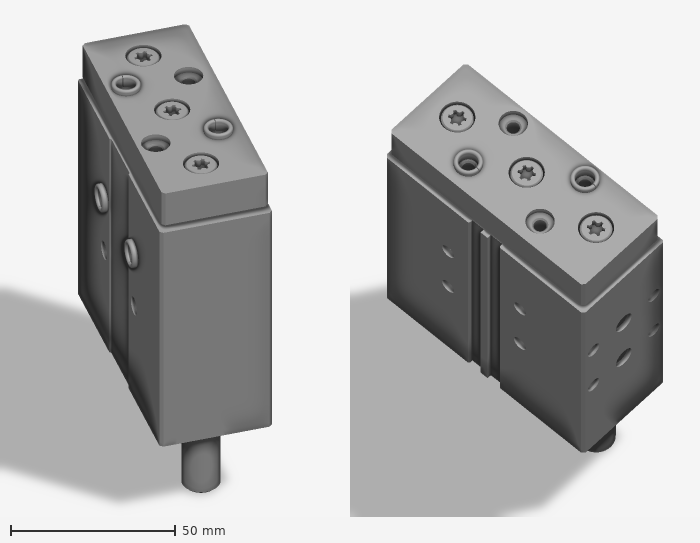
import cadquery as cq
import math


HOUSING_X = 83.0
HOUSING_Y = 36.0
HOUSING_Z = 80.9
CORNER_CHAMFER = 1.0
FRONT_LEFT_CHAMFER = 0.5
FRONT_GROOVE_WIDTH = 19.0
FRONT_GROOVE_DEPTH = 0.5
FRONT_GROOVE_SLOPE = 0.2
BACK_SLOT_WIDTH = 12.5
BACK_SLOT_DEPTH = 1.5
BACK_SLOT_CHAMFER = 0.5
BACK_RIB_WIDTH = 3.0
FOOT_DIAMETER = 7.0
FOOT_HEIGHT = 1.2
FOOT_X = 15.7

HOLE_X = 15.0
HOLE_PITCH = 20.0
UPPER_HOLE_DROP = 26.0
UPPER_HOLE_Z = HOUSING_Z - UPPER_HOLE_DROP
LOWER_HOLE_Z = UPPER_HOLE_Z - HOLE_PITCH

FRONT_HOLE_DIAMETER = 5.0
FRONT_HOLE_RIM = 6.0
SMALL_HOLE_DIAMETER = 4.0
SMALL_HOLE_RIM = 5.0
SIDE_HOLE_PITCH = 26.9
SIDE_HOLE_DEPTH = 8.0
DRILL_POINT_ANGLE = 118
PORT_DIAMETER = 7.0
PORT_DEPTH = 1.6

PLATE_X = 81.0
PLATE_Y = 34.0
PLATE_Z = 12.0
PLATE_GAP = 2.0
PLATE_CORNER_CHAMFER = 1.0
PLATE_BOTTOM = HOUSING_Z + PLATE_GAP
PLATE_TOP = PLATE_BOTTOM + PLATE_Z

ROD_AXIS_Y = -1.0
GUIDE_ROD_X = 29.0
GUIDE_ROD_DIAMETER = 12.0
GUIDE_ROD_BOTTOM = -26.0
GUIDE_ROD_CHAMFER = 0.9
PISTON_ROD_DIAMETER = 9.0
PISTON_ROD_BOTTOM = HOUSING_Z / 2
NECK_DIAMETER = 6.0
HEAD_DIAMETER = 10.0
HEAD_HEIGHT = 6.0
HEAD_RECESS = 0.4
HEAD_CHAMFER = 0.5
HEAD_POCKET_DIAMETER = 11.0
HEAD_TOP = PLATE_TOP - HEAD_RECESS
HEAD_BOTTOM = HEAD_TOP - HEAD_HEIGHT
SOCKET_TIP_RADIUS = 2.8
SOCKET_ROOT_RADIUS = 2.0
SOCKET_DEPTH = 2.5
SOCKET_LOBES = 6
SOCKET_LOBE_ANGLE = 22

SLEEVE_DIAMETER = 9.0
SLEEVE_BORE = 6.1
SLEEVE_SEAT_DEPTH = 2.1
SLEEVE_PROTRUSION = 1.8
SLEEVE_SLIT = 0.2

HOUSING_FRONT = cq.Vector(0, -HOUSING_Y / 2, 0)
DOWN = cq.Vector(0, 0, -1)
TO_BACK = cq.Vector(0, 1, 0)
TO_RIGHT = cq.Vector(1, 0, 0)


def cylinder(diameter, bottom, top, x=0.0, y=0.0):
    """Upright cylinder between two heights."""
    return cq.Workplane("XY", origin=(x, y, bottom)).circle(diameter / 2).extrude(top - bottom)


def bore(diameter, depth, mouth, direction):
    """Cylinder that cuts a round hole from its mouth along a direction."""
    return cq.Workplane(cq.Solid.makeCylinder(diameter / 2, depth, mouth, direction))


def rim_chamfer(hole_diameter, rim_diameter, mouth, direction):
    """Cone that cuts a 45 degree chamfer at the mouth of a hole."""
    depth = (rim_diameter - hole_diameter) / 2
    return cq.Workplane(cq.Solid.makeCone(rim_diameter / 2, hole_diameter / 2, depth, mouth, direction))


def drill_point(diameter, depth, mouth, direction):
    """Cone at the end of a blind drilled hole."""
    radius = diameter / 2
    length = radius / math.tan(math.radians(DRILL_POINT_ANGLE / 2))
    return cq.Workplane(cq.Solid.makeCone(radius, 0, length, mouth + direction * depth, direction))


def housing_profile():
    """Housing outline with the front groove and the ribbed back slot."""
    side = HOUSING_X / 2
    back = HOUSING_Y / 2
    front = -back
    groove = FRONT_GROOVE_WIDTH / 2
    groove_floor = front + FRONT_GROOVE_DEPTH
    slot = BACK_SLOT_WIDTH / 2
    slot_floor = back - BACK_SLOT_DEPTH
    rib = BACK_RIB_WIDTH / 2
    return (
        cq.Workplane("XY")
        .moveTo(-side, front + FRONT_LEFT_CHAMFER)
        .lineTo(-side + FRONT_LEFT_CHAMFER, front)
        .lineTo(-groove, front)
        .lineTo(-groove + FRONT_GROOVE_SLOPE, groove_floor)
        .lineTo(groove - FRONT_GROOVE_SLOPE, groove_floor)
        .lineTo(groove, front)
        .lineTo(side - CORNER_CHAMFER, front)
        .lineTo(side, front + CORNER_CHAMFER)
        .lineTo(side, back - CORNER_CHAMFER)
        .lineTo(side - CORNER_CHAMFER, back)
        .lineTo(slot + BACK_SLOT_CHAMFER, back)
        .lineTo(slot, back - BACK_SLOT_CHAMFER)
        .lineTo(slot, slot_floor)
        .lineTo(rib, slot_floor)
        .lineTo(rib, back)
        .lineTo(-rib, back)
        .lineTo(-rib, slot_floor)
        .lineTo(-slot, slot_floor)
        .lineTo(-slot, back - BACK_SLOT_CHAMFER)
        .lineTo(-slot - BACK_SLOT_CHAMFER, back)
        .lineTo(-side + CORNER_CHAMFER, back)
        .lineTo(-side, back - CORNER_CHAMFER)
        .close()
    )


def cut_front_holes(body):
    """Four through holes along Y; the upper two have sleeve seats, the lower two chamfers."""
    for x in (-HOLE_X, HOLE_X):
        upper = HOUSING_FRONT + cq.Vector(x, 0, UPPER_HOLE_Z)
        lower = HOUSING_FRONT + cq.Vector(x, 0, LOWER_HOLE_Z)
        for mouth in (upper, lower):
            body = body.cut(bore(FRONT_HOLE_DIAMETER, HOUSING_Y, mouth, TO_BACK))
        body = body.cut(bore(SLEEVE_DIAMETER, SLEEVE_SEAT_DEPTH, upper, TO_BACK))
        body = body.cut(rim_chamfer(FRONT_HOLE_DIAMETER, FRONT_HOLE_RIM, lower, TO_BACK))
    return body


def cut_side_holes(body):
    """Two shallow ports and four chamfered blind holes in the -X side."""
    for z in (UPPER_HOLE_Z, LOWER_HOLE_Z):
        port = cq.Vector(-HOUSING_X / 2, 0, z)
        body = body.cut(bore(PORT_DIAMETER, PORT_DEPTH, port, TO_RIGHT))
        for y in (-SIDE_HOLE_PITCH / 2, SIDE_HOLE_PITCH / 2):
            mouth = port + cq.Vector(0, y, 0)
            body = body.cut(bore(SMALL_HOLE_DIAMETER, SIDE_HOLE_DEPTH, mouth, TO_RIGHT))
            body = body.cut(drill_point(SMALL_HOLE_DIAMETER, SIDE_HOLE_DEPTH, mouth, TO_RIGHT))
            body = body.cut(rim_chamfer(SMALL_HOLE_DIAMETER, SMALL_HOLE_RIM, mouth, TO_RIGHT))
    return body


def make_housing():
    """Housing block with rod bores, two feet, front holes and side holes."""
    body = housing_profile().extrude(HOUSING_Z)
    for x in (-GUIDE_ROD_X, GUIDE_ROD_X):
        body = body.cut(cylinder(GUIDE_ROD_DIAMETER, 0, HOUSING_Z, x, ROD_AXIS_Y))
    body = body.cut(cylinder(PISTON_ROD_DIAMETER, PISTON_ROD_BOTTOM, HOUSING_Z, 0, ROD_AXIS_Y))
    for x in (-FOOT_X, FOOT_X):
        body = body.union(cylinder(FOOT_DIAMETER, -FOOT_HEIGHT, 0, x, ROD_AXIS_Y))
    return cut_side_holes(cut_front_holes(body))


def make_plate():
    """Yoke plate with three screw pockets and four sleeve seats over through holes."""
    body = (
        cq.Workplane("XY", origin=(0, 0, PLATE_BOTTOM))
        .rect(PLATE_X, PLATE_Y)
        .extrude(PLATE_Z)
        .edges("|Z")
        .chamfer(PLATE_CORNER_CHAMFER)
    )
    for x in (-GUIDE_ROD_X, 0, GUIDE_ROD_X):
        body = body.cut(cylinder(NECK_DIAMETER, PLATE_BOTTOM, PLATE_TOP, x, ROD_AXIS_Y))
        body = body.cut(cylinder(HEAD_POCKET_DIAMETER, HEAD_BOTTOM, PLATE_TOP, x, ROD_AXIS_Y))
    seat_floor = PLATE_TOP - SLEEVE_SEAT_DEPTH
    for x in (-HOLE_X, HOLE_X):
        for y in (ROD_AXIS_Y - HOLE_PITCH / 2, ROD_AXIS_Y + HOLE_PITCH / 2):
            body = body.cut(cylinder(SLEEVE_DIAMETER, seat_floor, PLATE_TOP, x, y))
            body = body.cut(cylinder(SMALL_HOLE_DIAMETER, PLATE_BOTTOM, PLATE_TOP, x, y))
            floor_mouth = cq.Vector(x, y, seat_floor)
            body = body.cut(rim_chamfer(SMALL_HOLE_DIAMETER, SMALL_HOLE_RIM, floor_mouth, DOWN))
    return body


def make_socket(x):
    """Six-lobed drive socket: short arcs at the lobe tips joined by concave arcs."""
    half_lobe = math.radians(SOCKET_LOBE_ANGLE / 2)
    step = 2 * math.pi / SOCKET_LOBES

    def polar(radius, angle):
        return (radius * math.cos(angle), radius * math.sin(angle))

    start = math.pi / 2
    outline = cq.Workplane("XY", origin=(x, ROD_AXIS_Y, HEAD_TOP - SOCKET_DEPTH))
    outline = outline.moveTo(*polar(SOCKET_TIP_RADIUS, start - half_lobe))
    for lobe in range(SOCKET_LOBES):
        middle = start + lobe * step
        next_lobe = middle + step
        outline = outline.threePointArc(
            polar(SOCKET_TIP_RADIUS, middle), polar(SOCKET_TIP_RADIUS, middle + half_lobe)
        )
        outline = outline.threePointArc(
            polar(SOCKET_ROOT_RADIUS, middle + step / 2),
            polar(SOCKET_TIP_RADIUS, next_lobe - half_lobe),
        )
    return outline.close().extrude(SOCKET_DEPTH)


def make_rod(diameter, bottom, chamfer, x):
    """Rod with a neck through the plate and a socket head in the plate's pocket."""
    shaft = cylinder(diameter, bottom, PLATE_BOTTOM, x, ROD_AXIS_Y)
    if chamfer > 0:
        shaft = shaft.faces("<Z").chamfer(chamfer)
    neck = cylinder(NECK_DIAMETER, PLATE_BOTTOM, HEAD_BOTTOM, x, ROD_AXIS_Y)
    head = cylinder(HEAD_DIAMETER, HEAD_BOTTOM, HEAD_TOP, x, ROD_AXIS_Y).faces(">Z").chamfer(HEAD_CHAMFER)
    return shaft.union(neck).union(head).cut(make_socket(x))


def make_sleeve():
    """Ring with a fully rounded top, slit on -X; the face it stands proud of is Z = 0."""
    inner = SLEEVE_BORE / 2
    outer = SLEEVE_DIAMETER / 2
    rounding = (outer - inner) / 2
    shoulder = SLEEVE_PROTRUSION - rounding
    ring = (
        cq.Workplane("XZ")
        .moveTo(-inner, -SLEEVE_SEAT_DEPTH)
        .lineTo(-outer, -SLEEVE_SEAT_DEPTH)
        .lineTo(-outer, shoulder)
        .threePointArc((-inner - rounding, SLEEVE_PROTRUSION), (-inner, shoulder))
        .close()
        .revolve(360, (0, 0, 0), (0, 1, 0))
    )
    slit = (
        cq.Workplane("XY", origin=(-outer, 0, -SLEEVE_SEAT_DEPTH))
        .rect(SLEEVE_DIAMETER, SLEEVE_SLIT)
        .extrude(SLEEVE_SEAT_DEPTH + SLEEVE_PROTRUSION)
    )
    return ring.cut(slit)


def make_plate_sleeves():
    """Two sleeves on the plate, in diagonally opposite seats."""
    sleeves = []
    for side in (-1, 1):
        place = (side * HOLE_X, ROD_AXIS_Y + side * HOLE_PITCH / 2, PLATE_TOP)
        sleeves.append(make_sleeve().translate(place))
    return sleeves


def make_front_sleeves():
    """Two sleeves in the upper front holes, with their slits facing down."""
    slit_at_front = make_sleeve().rotate((0, 0, 0), (0, 0, 1), 90)
    facing_front = slit_at_front.rotate((0, 0, 0), (1, 0, 0), 90)
    sleeves = []
    for x in (-HOLE_X, HOLE_X):
        place = HOUSING_FRONT + cq.Vector(x, 0, UPPER_HOLE_Z)
        sleeves.append(facing_front.translate(place))
    return sleeves


housing = make_housing()
plate = make_plate()
guide_rods = [
    make_rod(GUIDE_ROD_DIAMETER, GUIDE_ROD_BOTTOM, GUIDE_ROD_CHAMFER, x)
    for x in (-GUIDE_ROD_X, GUIDE_ROD_X)
]
piston_rod = make_rod(PISTON_ROD_DIAMETER, PISTON_ROD_BOTTOM, 0, 0)
sleeves = make_plate_sleeves() + make_front_sleeves()

bodies = [housing, plate, piston_rod, *guide_rods, *sleeves]
result = cq.Compound.makeCompound([body.val() for body in bodies])